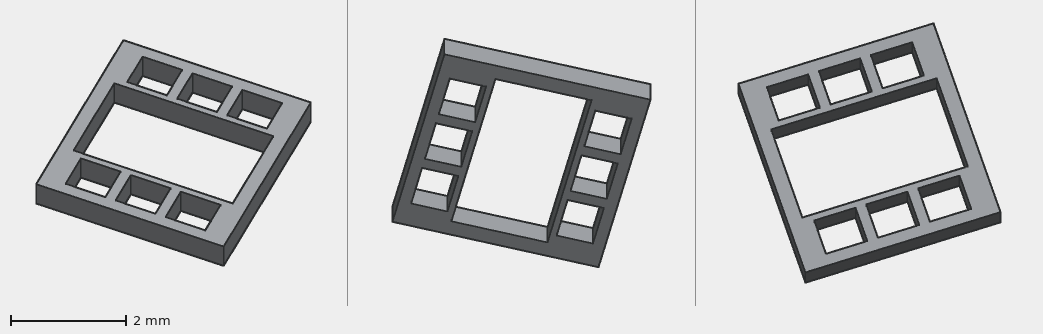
import cadquery as cq

width = 3.56
length = 3.69
thickness = 0.5

window_width = 3.02
window_length = 1.72

pocket_width = 0.753
pocket_length = 0.65
pocket_columns = 3
pocket_pitch = 0.95
row_offset = 1.303
row_shift = 0.007

plate = cq.Workplane("XY").box(width, length, thickness)


def cut_window(body, size_x, size_y, centres):
    """Cut a rectangular opening through the plate at each centre."""
    return body.faces(">Z").workplane().pushPoints(centres).rect(size_x, size_y).cutThruAll()


first_column = row_shift - pocket_pitch * (pocket_columns - 1) / 2
pocket_centres = [
    (first_column + column * pocket_pitch, row)
    for row in (-row_offset, row_offset)
    for column in range(pocket_columns)
]

framed = cut_window(plate, window_width, window_length, [(0, 0)])
result = cut_window(framed, pocket_width, pocket_length, pocket_centres)